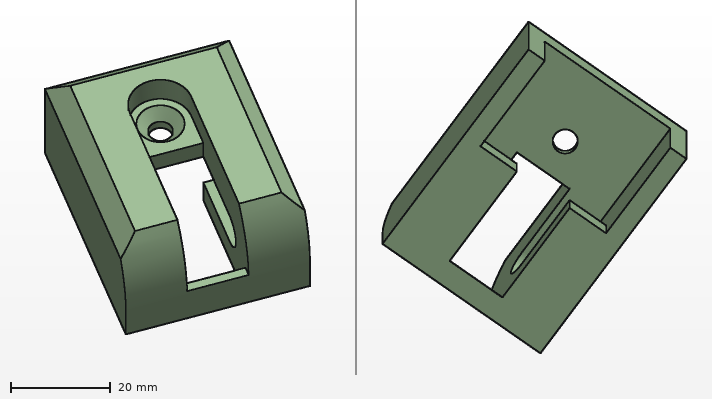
import cadquery as cq
import math

length = 50
width = 39
height = 24
bevel = 4

nose_radius = 25
nose_center_z = 7.75

side_wall = 4
ceiling_z = 13.65
ledge_z = 5.65
groove_center_x = 38.1

slot_width = 13
slot_center_x = 14.5
seat_z = 18
seat_end_x = 22
ledge_start_x = seat_end_x
screw_diameter = 5
countersink_diameter = 9.65
countersink_angle = 90

sill_z = 8.5
sill_base_thickness = 5
sill_thickness = 2
sill_lip = 0.2


def beveled_block():
    """Block with a rounded nose and sloping top edges on the other three sides."""
    nose_center_x = length - nose_radius
    top_rise = height - nose_center_z
    nose_top_x = nose_center_x + math.sqrt(nose_radius**2 - top_rise**2)
    mid_angle = math.asin(top_rise / nose_radius) / 2
    nose_middle = (
        nose_center_x + nose_radius * math.cos(mid_angle),
        nose_center_z + nose_radius * math.sin(mid_angle),
    )
    side_profile = (
        cq.Workplane("XZ")
        .moveTo(0, 0)
        .lineTo(length, 0)
        .lineTo(length, nose_center_z)
        .threePointArc(nose_middle, (nose_top_x, height))
        .lineTo(bevel, height)
        .lineTo(0, height - bevel)
        .close()
        .extrude(width / 2, both=True)
    )
    half_width = width / 2
    end_profile = (
        cq.Workplane("YZ")
        .polyline([
            (-half_width, 0),
            (half_width, 0),
            (half_width, height - bevel),
            (half_width - bevel, height),
            (bevel - half_width, height),
            (-half_width, height - bevel),
        ])
        .close()
        .extrude(length)
    )
    return side_profile.intersect(end_profile)


def channel():
    """Space under the roof, with a round-ended rail groove above two ledges at its far end."""
    inner_width = width - 2 * side_wall
    entry = cq.Workplane("XY").box(
        ledge_start_x, inner_width, ceiling_z, centered=(False, True, False)
    )
    groove_radius = (ceiling_z - ledge_z) / 2
    groove = (
        cq.Workplane("XZ")
        .moveTo(0, ledge_z)
        .lineTo(groove_center_x, ledge_z)
        .threePointArc(
            (groove_center_x + groove_radius, ledge_z + groove_radius),
            (groove_center_x, ceiling_z),
        )
        .lineTo(0, ceiling_z)
        .close()
        .extrude(inner_width / 2, both=True)
    )
    return entry.union(groove)


def seat_recess():
    """Slot with a round closed end, running out through the nose above the seat."""
    recess_height = height - seat_z
    round_end = (
        cq.Workplane("XY", origin=(slot_center_x, 0, seat_z))
        .circle(slot_width / 2)
        .extrude(recess_height)
    )
    straight = cq.Workplane("XY", origin=(slot_center_x, 0, seat_z)).box(
        length - slot_center_x, slot_width, recess_height, centered=(False, True, False)
    )
    return round_end.union(straight)


def slot_opening():
    """Opening through the roof beyond the seat, ending on the sloped sill."""
    return (
        cq.Workplane("XZ")
        .polyline([
            (seat_end_x, 0),
            (length - sill_base_thickness, 0),
            (length - sill_base_thickness, sill_lip),
            (length - sill_thickness, sill_z),
            (length, sill_z),
            (length, height),
            (seat_end_x, height),
        ])
        .close()
        .extrude(slot_width / 2, both=True)
    )


result = (
    beveled_block()
    .cut(channel())
    .cut(seat_recess())
    .cut(slot_opening())
)

result = (
    result.copyWorkplane(cq.Workplane("XY", origin=(slot_center_x, 0, seat_z)))
    .cskHole(screw_diameter, countersink_diameter, countersink_angle)
)